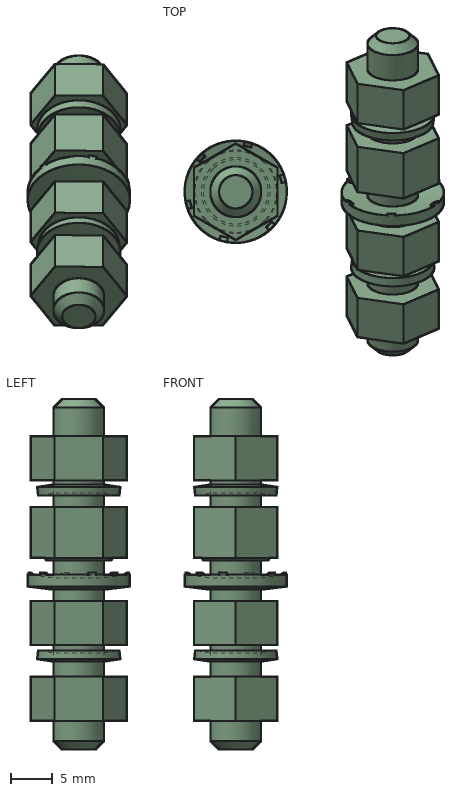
import cadquery as cq
import math

STUD_LENGTH = 42.1
STUD_DIAMETER = 6.1
STUD_RADIUS = STUD_DIAMETER / 2
STUD_CHAMFER = 1.05

NUT_ACROSS_FLATS = 10.0
NUT_HEIGHT = 5.3
TALL_NUT_HEIGHT = 6.1
END_NUT_BASE_Z = 3.45
LOWER_NUT_BASE_Z = 12.55
TALL_NUT_BASE_Z = 23.03
TOP_NUT_BASE_Z = 32.35

BOSS_TOP_RADIUS = 4.13
BOSS_BOTTOM_RADIUS = 3.87
BOSS_HEIGHT = 0.35

FLANGE_RADIUS = 6.15
FLANGE_RIM_BASE_Z = 19.58
FLANGE_THICKNESS = 1.45
FLANGE_DISH = 0.38
FLANGE_TOP_Z = FLANGE_RIM_BASE_Z + FLANGE_THICKNESS
DISH_SLOPE = FLANGE_DISH / (FLANGE_RADIUS - STUD_RADIUS)
TOOTH_COUNT = 6
TOOTH_FIRST_ANGLE = 15.5
TOOTH_WIDTH = 0.93
TOOTH_LENGTH = 0.55
TOOTH_RISE = 0.25

SPRING_RADIUS = 5.0
SPRING_RIM_INSET = 0.13
SPRING_THICKNESS = 1.05
SPRING_CONE_RISE = 0.3
UPPER_SPRING_RIM_Z = 30.5
LOWER_SPRING_RIM_Z = 11.9


def make_nut(base_z, height):
    """Hexagonal prism with two of its corners on the Y axis."""
    half_corner_angle = 180 / 6
    across_corners = NUT_ACROSS_FLATS / math.cos(math.radians(half_corner_angle))
    return (
        cq.Workplane("XY", origin=(0, 0, base_z))
        .polygon(6, across_corners)
        .extrude(height)
        .rotate((0, 0, 0), (0, 0, 1), half_corner_angle)
    )


def revolve_about_z(section):
    """Solid of revolution from (radius, z) points."""
    return cq.Workplane("XZ").polyline(section).close().revolve(360, (0, 0, 0), (0, 1, 0))


def make_boss():
    top_z = TALL_NUT_BASE_Z
    bottom_z = top_z - BOSS_HEIGHT
    return revolve_about_z(
        [(0, bottom_z), (BOSS_BOTTOM_RADIUS, bottom_z), (BOSS_TOP_RADIUS, top_z), (0, top_z)]
    )


def make_tooth_gaps():
    """Ring above the dished face that clears the rim everywhere except at the teeth."""
    outside = FLANGE_RADIUS + TOOTH_LENGTH
    tooth_root = FLANGE_RADIUS - TOOTH_LENGTH
    gaps = revolve_about_z(
        [
            (tooth_root, FLANGE_TOP_Z - DISH_SLOPE * TOOTH_LENGTH),
            (outside, FLANGE_TOP_Z + DISH_SLOPE * TOOTH_LENGTH),
            (outside, TALL_NUT_BASE_Z),
            (tooth_root, TALL_NUT_BASE_Z),
        ]
    )
    tooth_space = (
        cq.Workplane("XY", origin=(FLANGE_RADIUS, 0, FLANGE_RIM_BASE_Z))
        .rect(4 * TOOTH_LENGTH, TOOTH_WIDTH)
        .extrude(TALL_NUT_BASE_Z)
    )
    for index in range(TOOTH_COUNT):
        angle = TOOTH_FIRST_ANGLE + index * 360 / TOOTH_COUNT
        gaps = gaps.cut(tooth_space.rotate((0, 0, 0), (0, 0, 1), angle))
    return gaps


def make_flange():
    """Disc whose two faces dip towards the stud, with teeth standing on its rim."""
    bottom_z = FLANGE_RIM_BASE_Z - FLANGE_DISH
    blank = revolve_about_z(
        [
            (0, bottom_z),
            (STUD_RADIUS, bottom_z),
            (FLANGE_RADIUS, FLANGE_RIM_BASE_Z),
            (FLANGE_RADIUS, FLANGE_TOP_Z + TOOTH_RISE),
            (FLANGE_RADIUS - TOOTH_LENGTH, FLANGE_TOP_Z - DISH_SLOPE * TOOTH_LENGTH),
            (STUD_RADIUS, FLANGE_TOP_Z - FLANGE_DISH),
            (0, FLANGE_TOP_Z - FLANGE_DISH),
        ]
    )
    return blank.cut(make_tooth_gaps())


def make_stud():
    """Chamfered rod carrying four nuts, the boss and the toothed flange."""
    stud = (
        cq.Workplane("XY").circle(STUD_RADIUS).extrude(STUD_LENGTH).faces("<Z or >Z").chamfer(STUD_CHAMFER)
    )
    nuts = [
        (END_NUT_BASE_Z, NUT_HEIGHT),
        (LOWER_NUT_BASE_Z, NUT_HEIGHT),
        (TALL_NUT_BASE_Z, TALL_NUT_HEIGHT),
        (TOP_NUT_BASE_Z, NUT_HEIGHT),
    ]
    for base_z, height in nuts:
        stud = stud.union(make_nut(base_z, height))
    return stud.union(make_boss()).union(make_flange())


def make_spring_washer(rim_z, direction):
    """Conical ring rising from its rim edge towards the stud; direction is 1 for up, -1 for down."""
    section = [
        (SPRING_RADIUS - SPRING_RIM_INSET, 0),
        (SPRING_RADIUS, SPRING_THICKNESS),
        (STUD_RADIUS, SPRING_THICKNESS + SPRING_CONE_RISE),
        (STUD_RADIUS, SPRING_CONE_RISE),
    ]
    return revolve_about_z([(radius, rim_z + direction * height) for radius, height in section])


stud = make_stud()
spring_washers = [
    make_spring_washer(rim_z, direction)
    for rim_z, direction in [(UPPER_SPRING_RIM_Z, 1), (LOWER_SPRING_RIM_Z, -1)]
]

result = cq.Compound.makeCompound([stud.val(), *[washer.val() for washer in spring_washers]])